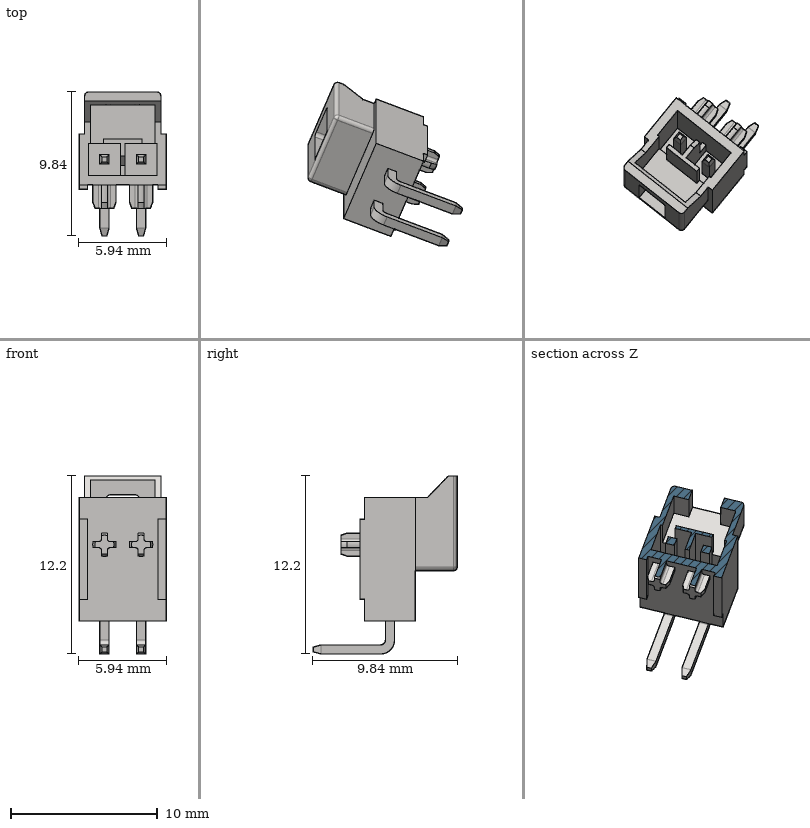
import cadquery as cq


overall_depth = 9.84
overall_height = 12.16

body_width = 5.94
body_depth = 3.48
body_height = 8.43
pitch = 2.5
pin_xs = (-pitch / 2, pitch / 2)

hood_width = 5.22
hood_back = 4.6
hood_bottom = 3.42
hood_top = 9.9
hood_lip = 0.62
hood_slope_run = 1.42
hood_radius = 0.28
hood_side_wall = 0.41
hood_back_wall = 0.88

window_width = 2.26
window_top = 8.6
window_radius = 0.28

socket_side = 2.18
cavity_width = pitch + socket_side
cavity_floor = 4.0
socket_floor = 2.0

rib_thickness = pitch - socket_side
rib_top = 8.4
crossbar_width = 2.65
crossbar_depth = 0.29
rib_flat_end = 0.22
rib_front = -0.41
rib_slope_drop = 0.6

rail_width = 0.58
rail_depth = 0.31
rail_height = 5.46

peg_z = 5.21
peg_diameter = 1.6
peg_tip_diameter = 1.3
peg_arm_width = 0.4
peg_root_radius = 0.2
peg_length = 1.61
peg_tip_length = 0.42

pin_side = 0.64
pin_end_side = 0.33
pin_tip_length = 0.55
pin_top = 6.9
pin_bottom = hood_top - overall_height
pin_front = hood_back - overall_depth
bend_inner_radius = 0.32
bend_outer_radius = bend_inner_radius + pin_side

front_y = -body_depth / 2
back_y = body_depth / 2


def box(x_min, x_max, y_min, y_max, z_min, z_max):
    """Axis-aligned block between the given limits."""
    size = (x_max - x_min, y_max - y_min, z_max - z_min)
    return cq.Workplane("XY").box(*size, centered=False).translate((x_min, y_min, z_min))


def centered_box(width, y_min, y_max, z_min, z_max):
    """Block symmetric about the YZ plane."""
    return box(-width / 2, width / 2, y_min, y_max, z_min, z_max)


def extrude_across_x(side_profile, width):
    """Extrude a YZ outline symmetrically about the YZ plane."""
    return cq.Workplane("YZ").polyline(side_profile).close().extrude(width / 2, both=True)


def make_hood():
    """Block with a sloped top and rounded back and bottom edges, starting inside the body."""
    lip_y = hood_back - hood_lip
    side_profile = [
        (0, hood_bottom),
        (hood_back, hood_bottom),
        (hood_back, hood_top),
        (lip_y, hood_top),
        (lip_y - hood_slope_run, body_height),
        (0, body_height),
    ]
    hood = extrude_across_x(side_profile, hood_width)
    rounded_edges = hood.edges("(>Y and |Z) or (<Z and (not <Y))")
    return rounded_edges.fillet(hood_radius)


def make_interior():
    """Everything hollowed out of the housing: cavity, hood space, sockets and window."""
    half_socket = socket_side / 2
    hood_inner_width = hood_width - 2 * hood_side_wall
    hood_inner_back = hood_back - hood_back_wall
    interior = centered_box(cavity_width, -half_socket, half_socket, cavity_floor, hood_top)
    interior = interior.union(centered_box(hood_inner_width, 0, hood_inner_back, cavity_floor, hood_top))
    for x in pin_xs:
        socket = centered_box(socket_side, -half_socket, half_socket, socket_floor, body_height)
        interior = interior.union(socket.translate((x, 0, 0)))
    window = centered_box(window_width, back_y, hood_back, cavity_floor, window_top)
    return interior.union(window.edges("|Y and >Z").fillet(window_radius))


def make_rib():
    """Crossbar behind the sockets with a sloped-front web between them."""
    crossbar_front = socket_side / 2
    crossbar_back = crossbar_front + crossbar_depth
    crossbar = centered_box(crossbar_width, crossbar_front, crossbar_back, cavity_floor, rib_top)
    web_profile = [
        (crossbar_back, cavity_floor),
        (crossbar_back, rib_top),
        (rib_flat_end, rib_top),
        (rib_front, rib_top - rib_slope_drop),
        (rib_front, cavity_floor),
    ]
    return crossbar.union(extrude_across_x(web_profile, rib_thickness))


def make_rail(side):
    """Standoff rail flush with one side of the body; side is -1 or 1."""
    rail_z = (body_height - rail_height) / 2
    rail = centered_box(rail_width, front_y - rail_depth, front_y, rail_z, rail_z + rail_height)
    return rail.translate((side * (body_width - rail_width) / 2, 0, 0))


def make_peg(x):
    """Cross-section peg trimmed by a round envelope with a conical tip."""
    cross = cq.Workplane("XZ").rect(peg_diameter, peg_arm_width).extrude(peg_length)
    cross = cross.union(cq.Workplane("XZ").rect(peg_arm_width, peg_diameter).extrude(peg_length))
    half_arm = peg_arm_width / 2
    root_zone = cq.selectors.BoxSelector(
        (-1.5 * half_arm, -peg_length, -1.5 * half_arm),
        (1.5 * half_arm, 0, 1.5 * half_arm),
    )
    cross = cross.edges("|Y").edges(root_zone).fillet(peg_root_radius)
    envelope_profile = [
        (0, 0),
        (peg_diameter / 2, 0),
        (peg_diameter / 2, peg_tip_length - peg_length),
        (peg_tip_diameter / 2, -peg_length),
        (0, -peg_length),
    ]
    envelope = cq.Workplane("XY").polyline(envelope_profile).close().revolve(360, (0, 0), (0, 1))
    return cross.intersect(envelope).translate((x, front_y, peg_z))


def make_pin_tip():
    """Square taper rising along Z from the full pin section."""
    tip = cq.Workplane("XY").rect(pin_side, pin_side).workplane(offset=pin_tip_length)
    return tip.rect(pin_end_side, pin_end_side).loft(ruled=True)


def make_pin(x):
    """L-shaped square pin with tapered ends, bent toward the front."""
    half_pin = pin_side / 2
    post_end = pin_top - pin_tip_length
    leg_end = pin_front + pin_tip_length
    shank_profile = [
        (-half_pin, post_end),
        (half_pin, post_end),
        (half_pin, pin_bottom),
        (leg_end, pin_bottom),
        (leg_end, pin_bottom + pin_side),
        (-half_pin, pin_bottom + pin_side),
    ]
    pin = extrude_across_x(shank_profile, pin_side)
    inner_corner = cq.selectors.NearestToPointSelector((0, -half_pin, pin_bottom + pin_side))
    outer_corner = cq.selectors.NearestToPointSelector((0, half_pin, pin_bottom))
    pin = pin.edges("|X").edges(inner_corner).fillet(bend_inner_radius)
    pin = pin.edges("|X").edges(outer_corner).fillet(bend_outer_radius)
    post_tip = make_pin_tip().translate((0, 0, post_end))
    leg_tip = make_pin_tip().rotate((0, 0, 0), (1, 0, 0), 90)
    leg_tip = leg_tip.translate((0, leg_end, pin_bottom + half_pin))
    return pin.union(post_tip).union(leg_tip).translate((x, 0, 0))


housing = centered_box(body_width, front_y, back_y, 0, body_height)
housing = housing.union(make_hood()).cut(make_interior()).union(make_rib())
for side in (-1, 1):
    housing = housing.union(make_rail(side))
for x in pin_xs:
    housing = housing.union(make_peg(x)).union(make_pin(x))

result = housing